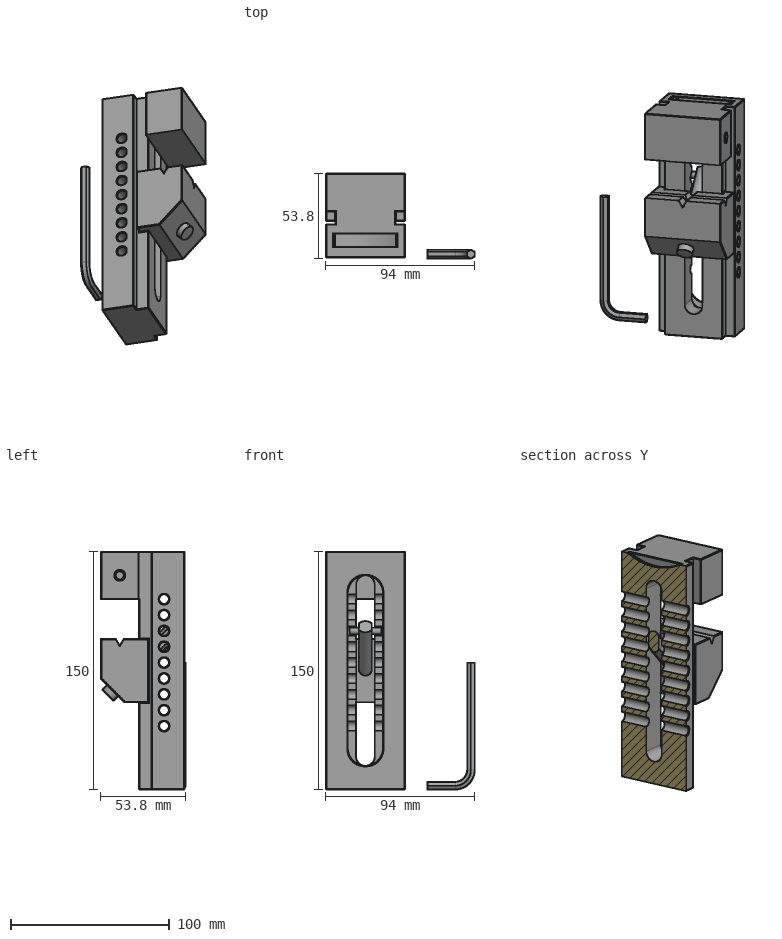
import cadquery as cq
import math

WIDTH = 50.0
HEIGHT = 150.0
EDGE_BREAK = 0.5
FLANGE_DEPTH = 21.0
BASE_DEPTH = 29.0
GROOVE_DEPTH = 6.0
RAIL_WIDTH = WIDTH - 2 * GROOVE_DEPTH

JAW_DEPTH = 24.0
TOTAL_DEPTH = BASE_DEPTH + JAW_DEPTH
FIXED_JAW_HEIGHT = 30.0
FIXED_JAW_BOTTOM = HEIGHT - FIXED_JAW_HEIGHT
JAW_CENTER_Y = BASE_DEPTH + JAW_DEPTH / 2
DIMPLE_DIAMETER = 7.0
DIMPLE_FLOOR_DIAMETER = 5.1
DIMPLE_DEPTH = 0.8

SLOT_LENGTH = 120.0
SLOT_WIDTH = 22.0
NARROW_SLOT_WIDTH = 11.7
LEDGE_Y = 13.0

HOLE_DIAMETER = 6.0
HOLE_COUNT = 9
HOLE_ROW_LENGTH = 80.0
HOLE_PITCH = HOLE_ROW_LENGTH / (HOLE_COUNT - 1)
TOP_HOLE_Z = FIXED_JAW_BOTTOM

POCKET_LENGTH = 40.0
POCKET_WIDTH = 8.0
POCKET_FRONT_Y = 6.9
POCKET_RADIUS = POCKET_LENGTH

MOVING_JAW_HEIGHT = 40.0
MOVING_JAW_TOP = 95.0
MOVING_JAW_BOTTOM = MOVING_JAW_TOP - MOVING_JAW_HEIGHT
LIP_LENGTH = 6.0
JAW_BEVEL = 15.0
V_DEPTH = 4.4
V_ANGLE = 60.0

SCREW_DIAMETER = 10.0
SCREW_FLAT_WIDTH = 8.1
HEAD_PROTRUSION = 4.2
SCREW_LENGTH = 61.2
PIN_DIAMETER = 4.4
PIN_LENGTH = 20.0
PIN_FROM_END = 3.9

KEY_FLATS = 5.0
KEY_TURN = 30.0
KEY_HEIGHT = 80.0
KEY_LENGTH = 30.0
KEY_BEND_RADIUS = 10.0
KEY_START_X = 39.0
KEY_Y = 2.1


def box(x_size, y_start, y_end, z_start, z_end):
    """Block centered on X, between the given Y and Z limits."""
    return (
        cq.Workplane("XY", origin=(0, (y_start + y_end) / 2, z_start))
        .rect(x_size, y_end - y_start)
        .extrude(z_end - z_start)
    )


def slot_cutter(width, y_start, y_end):
    """Upright round-ended slot, centered on the base height."""
    return (
        cq.Workplane("XZ", origin=(0, y_start, HEIGHT / 2))
        .slot2D(SLOT_LENGTH, width, 90)
        .extrude(y_start - y_end)
    )


def cross_hole(z):
    """Cutter for a hole across the full width, with both rims broken."""
    radius = HOLE_DIAMETER / 2
    start = cq.Vector(-WIDTH / 2, LEDGE_Y, z)
    along = cq.Vector(1, 0, 0)
    drill = cq.Workplane(cq.Solid.makeCylinder(radius, WIDTH, start, along))
    rim = cq.Workplane(cq.Solid.makeCone(radius + EDGE_BREAK, radius, EDGE_BREAK, start, along))
    return drill.union(rim).union(rim.mirror("YZ"))


def make_blank():
    """Flange, rail and fixed jaw with broken outer edges."""
    flange = box(WIDTH, 0, FLANGE_DEPTH, 0, HEIGHT)
    rail = box(RAIL_WIDTH, FLANGE_DEPTH, BASE_DEPTH, 0, FIXED_JAW_BOTTOM)
    rail = rail.edges("|Z and >Y").chamfer(EDGE_BREAK)
    neck = box(RAIL_WIDTH, FLANGE_DEPTH, BASE_DEPTH, FIXED_JAW_BOTTOM, HEIGHT)
    jaw = box(WIDTH, BASE_DEPTH, TOTAL_DEPTH, FIXED_JAW_BOTTOM, HEIGHT)
    blank = flange.union(rail).union(neck).union(jaw)
    blank = blank.edges("|Z").edges("<X or >X").chamfer(EDGE_BREAK)
    return blank.faces("<Z or >Z").edges().chamfer(EDGE_BREAK)


def cut_slot(base):
    """Stepped slot whose ledges carry the notches."""
    wide = slot_cutter(SLOT_WIDTH, 0, LEDGE_Y)
    narrow = slot_cutter(NARROW_SLOT_WIDTH, LEDGE_Y, TOTAL_DEPTH)
    keep_jaw = box(WIDTH, BASE_DEPTH, TOTAL_DEPTH, FIXED_JAW_BOTTOM, HEIGHT)
    rim = (
        cq.Workplane("XZ", origin=(0, 0, HEIGHT / 2))
        .slot2D(SLOT_LENGTH + 2 * EDGE_BREAK, SLOT_WIDTH + 2 * EDGE_BREAK, 90)
        .extrude(-EDGE_BREAK, taper=45)
    )
    return base.cut(wide).cut(narrow.cut(keep_jaw)).cut(rim)


def cut_cross_holes(base):
    for index in range(HOLE_COUNT):
        z = TOP_HOLE_Z - index * HOLE_PITCH
        base = base.cut(cross_hole(z))
    return base


def cut_jaw_dimple(base):
    """Shallow tapered dimple in the middle of the fixed jaw's -X side."""
    dimple = cq.Solid.makeCone(
        DIMPLE_DIAMETER / 2,
        DIMPLE_FLOOR_DIAMETER / 2,
        DIMPLE_DEPTH,
        cq.Vector(-WIDTH / 2, JAW_CENTER_Y, HEIGHT - FIXED_JAW_HEIGHT / 2),
        cq.Vector(1, 0, 0),
    )
    return base.cut(cq.Workplane(dimple))


def cut_top_pocket(base):
    """Pocket with a concave cylindrical floor and a chamfered rim."""
    axis_height = math.sqrt(POCKET_RADIUS**2 - (POCKET_LENGTH / 2) ** 2)
    floor = cq.Solid.makeCylinder(
        POCKET_RADIUS,
        POCKET_WIDTH,
        cq.Vector(0, POCKET_FRONT_Y, HEIGHT + axis_height),
        cq.Vector(0, 1, 0),
    )
    rim = (
        cq.Workplane("XY", origin=(0, POCKET_FRONT_Y + POCKET_WIDTH / 2, HEIGHT))
        .rect(POCKET_LENGTH + 2 * EDGE_BREAK, POCKET_WIDTH + 2 * EDGE_BREAK)
        .extrude(-EDGE_BREAK, taper=45)
    )
    return base.cut(cq.Workplane(floor)).cut(rim)


def v_groove(plane, length):
    """V groove cutter centered on the gripping face of the moving jaw."""
    half_width = V_DEPTH * math.tan(math.radians(V_ANGLE / 2))
    return (
        cq.Workplane(plane, origin=(0, JAW_CENTER_Y, MOVING_JAW_TOP))
        .polyline([(-half_width, 0), (half_width, 0), (0, -V_DEPTH)])
        .close()
        .extrude(length / 2, both=True)
    )


def lip_flare():
    """Beveled foot that widens a lip where it meets the side of the rail."""
    y_size = LIP_LENGTH - EDGE_BREAK
    y_center = BASE_DEPTH - LIP_LENGTH + y_size / 2
    z_center = (MOVING_JAW_BOTTOM + MOVING_JAW_TOP) / 2
    return (
        cq.Workplane("YZ", origin=(RAIL_WIDTH / 2, y_center, z_center))
        .rect(y_size + 2 * EDGE_BREAK, MOVING_JAW_HEIGHT + 2 * EDGE_BREAK)
        .extrude(EDGE_BREAK, taper=45)
    )


def make_moving_jaw():
    """Beveled jaw that straddles the rail, with crossed V grooves in its gripping face."""
    lip_y = BASE_DEPTH - LIP_LENGTH
    jaw = box(WIDTH, lip_y, TOTAL_DEPTH, MOVING_JAW_BOTTOM, MOVING_JAW_TOP)
    jaw = jaw.edges(">Y and <Z").chamfer(JAW_BEVEL)
    jaw = jaw.faces("<X or >X or <Y").edges().chamfer(EDGE_BREAK)
    channel = box(RAIL_WIDTH, lip_y, BASE_DEPTH, MOVING_JAW_BOTTOM, MOVING_JAW_TOP)
    flare = lip_flare()
    jaw = jaw.cut(channel).union(flare).union(flare.mirror("YZ"))
    return jaw.cut(v_groove("YZ", WIDTH)).cut(v_groove("XZ", JAW_DEPTH))


def make_screw():
    """Flattened screw square to the jaw bevel, with a pin across its front end."""
    bevel_mid_y = TOTAL_DEPTH - JAW_BEVEL / 2
    bevel_mid_z = MOVING_JAW_BOTTOM + JAW_BEVEL / 2
    axis_plane = cq.Plane(origin=(0, bevel_mid_y, bevel_mid_z), xDir=(1, 0, 0), normal=(0, -1, 1))
    axis = cq.Workplane(axis_plane).workplane(offset=-HEAD_PROTRUSION)
    screw = axis.circle(SCREW_DIAMETER / 2).extrude(SCREW_LENGTH)
    flats = (
        cq.Workplane(axis_plane)
        .rect(SCREW_FLAT_WIDTH, SCREW_DIAMETER)
        .extrude(SCREW_LENGTH)
    )
    head = axis.circle(SCREW_DIAMETER / 2).extrude(HEAD_PROTRUSION)
    screw = screw.intersect(flats).union(head)
    pin = (
        cq.Workplane(axis_plane)
        .workplane(offset=SCREW_LENGTH - HEAD_PROTRUSION - PIN_FROM_END)
        .transformed(rotate=(0, 90, 0))
        .circle(PIN_DIAMETER / 2)
        .extrude(PIN_LENGTH / 2, both=True)
    )
    return screw.union(pin)


def make_vise():
    """Base, moving jaw and clamping screw joined as one body."""
    base = make_blank()
    base = cut_slot(base)
    base = cut_cross_holes(base)
    base = cut_top_pocket(base)
    base = cut_jaw_dimple(base)
    return base.union(make_moving_jaw()).union(make_screw())


def make_hex_key():
    """Hexagonal bar bent to a right angle."""
    bar_z = KEY_FLATS / 2
    corner_x = KEY_START_X + KEY_LENGTH - KEY_FLATS / 2
    bend_x = corner_x - KEY_BEND_RADIUS
    bend_z = bar_z + KEY_BEND_RADIUS
    bend_mid = (
        bend_x + KEY_BEND_RADIUS * math.sin(math.radians(45)),
        bend_z - KEY_BEND_RADIUS * math.cos(math.radians(45)),
    )
    path = (
        cq.Workplane("XZ", origin=(0, KEY_Y, 0))
        .moveTo(KEY_START_X, bar_z)
        .lineTo(bend_x, bar_z)
        .threePointArc(bend_mid, (corner_x, bend_z))
        .lineTo(corner_x, KEY_HEIGHT)
    )
    return (
        cq.Workplane("YZ", origin=(KEY_START_X, KEY_Y, bar_z))
        .transformed(rotate=(0, 0, KEY_TURN))
        .polygon(6, KEY_FLATS, circumscribed=True)
        .sweep(path)
    )


vise = make_vise()
hex_key = make_hex_key()
result = cq.Compound.makeCompound([vise.solids().val(), hex_key.val()])